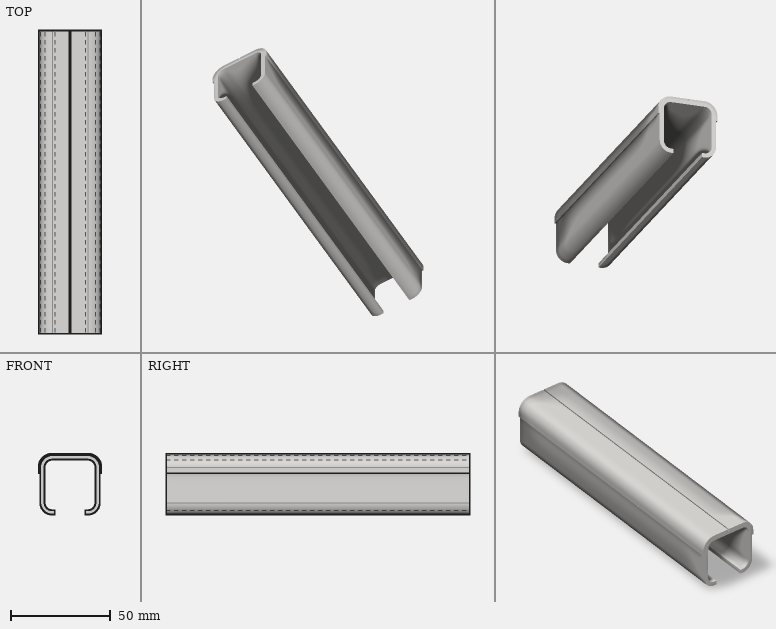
import cadquery as cq

length = 152.4
channel_width = 30.0
channel_height = 29.9
channel_wall = 2.3
channel_corner_radius = 6.1
mouth_width = 15.2
cover_thickness = 0.8
cover_drop = 9.9
cover_gap = 0.6

cover_width = channel_width + 2 * cover_thickness
cover_top = channel_height + cover_thickness
cover_corner_radius = channel_corner_radius + cover_thickness


def centered_bar(width, bottom, top):
    """Full-length bar, centred on X and Y, between two heights."""
    return cq.Workplane("XY").workplane(offset=bottom).rect(width, length).extrude(top - bottom)


def make_channel():
    """C-shaped channel with rounded corners, open along the bottom."""
    inner_width = channel_width - 2 * channel_wall
    inner_top = channel_height - channel_wall
    inner_radius = channel_corner_radius - channel_wall
    outside = centered_bar(channel_width, 0, channel_height).edges("|Y").fillet(channel_corner_radius)
    inside = centered_bar(inner_width, channel_wall, inner_top).edges("|Y").fillet(inner_radius)
    mouth = centered_bar(mouth_width, 0, channel_height / 2)
    return outside.cut(inside).cut(mouth)


def make_cover(side):
    """Thin strip wrapped over one top corner; side is -1 for -X or 1 for +X."""
    inner_edge = side * cover_gap / 2
    channel_side = side * channel_width / 2
    cover_side = side * cover_width / 2
    lower_edge = cover_top - cover_drop
    section = (
        cq.Workplane("XZ", origin=(0, length / 2, 0))
        .moveTo(inner_edge, cover_top)
        .lineTo(cover_side, cover_top)
        .lineTo(cover_side, lower_edge)
        .lineTo(channel_side, lower_edge)
        .lineTo(channel_side, channel_height)
        .lineTo(inner_edge, channel_height)
        .close()
    )
    outer_corner = cq.selectors.NearestToPointSelector((cover_side, 0, cover_top))
    inner_corner = cq.selectors.NearestToPointSelector((channel_side, 0, channel_height))
    strip = section.extrude(length)
    strip = strip.edges("|Y").edges(outer_corner).fillet(cover_corner_radius)
    return strip.edges("|Y").edges(inner_corner).fillet(channel_corner_radius)


channel = make_channel()
covers = [make_cover(side) for side in (-1, 1)]

result = cq.Compound.makeCompound([channel.val(), *[cover.val() for cover in covers]])